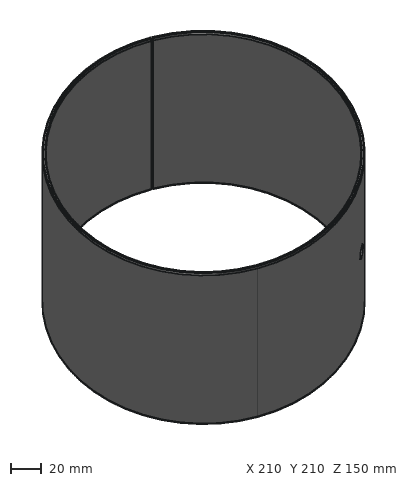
import cadquery as cq

outer_diameter = 210.0
height = 150.0
wall = 2.5
edge_chamfer_height = 1.5
edge_chamfer_width = 0.6

slit_width = 1.5
slit_center_y = 1.0

hole_diameter = 10.0
hole_angle = 59.0

outer_radius = outer_diameter / 2
inner_radius = outer_radius - wall


def make_sleeve():
    """Revolve the wall section, chamfered on both edges of each end."""
    half_height = height / 2
    shoulder = half_height - edge_chamfer_height
    rim_inner = inner_radius + edge_chamfer_width
    rim_outer = outer_radius - edge_chamfer_width
    section = [
        (inner_radius, -shoulder),
        (rim_inner, -half_height),
        (rim_outer, -half_height),
        (outer_radius, -shoulder),
        (outer_radius, shoulder),
        (rim_outer, half_height),
        (rim_inner, half_height),
        (inner_radius, shoulder),
    ]
    return cq.Workplane("XZ").polyline(section).close().revolve(360, (0, 0), (0, 1))


def make_slit():
    """Box that cuts only the -X side of the wall."""
    return (
        cq.Workplane("XY")
        .box(outer_diameter, slit_width, 2 * height)
        .translate((-outer_radius, slit_center_y, 0))
    )


def make_hole():
    """Cylinder that runs outward from the axis through one side of the wall."""
    return (
        cq.Workplane("YZ")
        .circle(hole_diameter / 2)
        .extrude(outer_diameter)
        .rotate((0, 0, 0), (0, 0, 1), hole_angle)
    )


result = make_sleeve().cut(make_slit()).cut(make_hole())